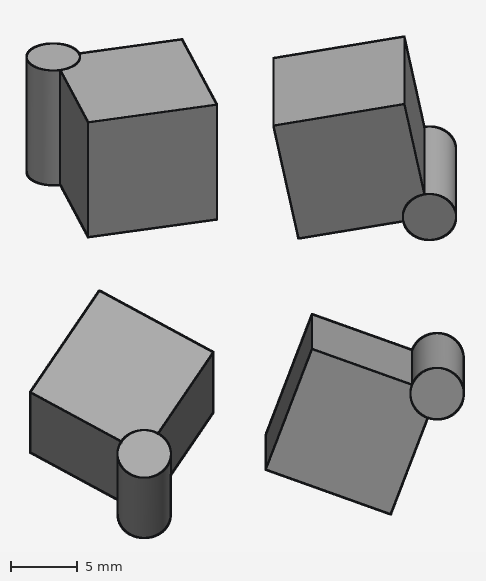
import cadquery as cq

overall_width = 12.0
block_side = 10.0

pin_radius = overall_width - block_side


def make_pin():
    """Upright round pin, as tall as the block, with its axis on the Z axis."""
    return cq.Workplane("XY").circle(pin_radius).extrude(block_side)


def make_block(pin):
    """Cube with one vertical edge on the Z axis, recessed there to seat the pin."""
    cube = cq.Workplane("XY").box(block_side, block_side, block_side, centered=False)
    return cube.cut(pin)


pin = make_pin()
block = make_block(pin)

result = cq.Compound.makeCompound([block.val(), pin.val()])